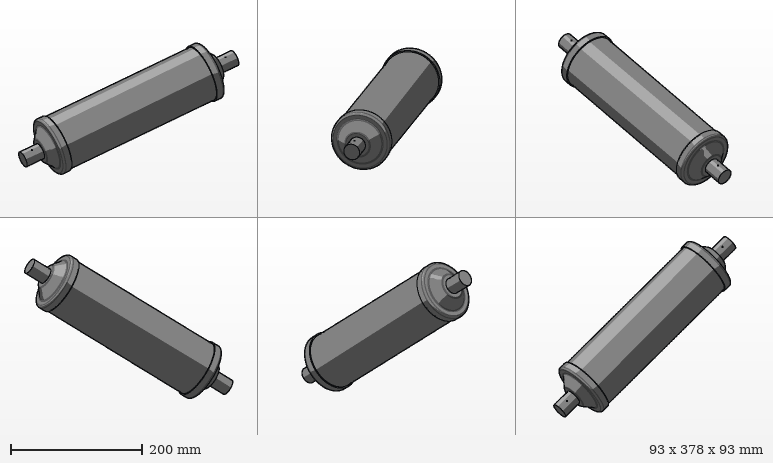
import cadquery as cq

overall_length = 378.0
barrel_diameter = 89.0
collar_diameter = 93.0
journal_diameter = 25.5

journal_length = 31.0
cone_length = 14.5
collar_width = 14.0

cone_tip_radius = 19.5
cone_base_radius = 35.5

collar_edge_radius = 3.5
cone_tip_fillet = 2.3
cone_base_fillet = 2.5
ring_tolerance = 0.5

pin_hole_diameter = 1.5
pin_hole_from_end = 16.0
pin_hole_depth = journal_diameter / 2

half_length = overall_length / 2
cone_tip_y = half_length - journal_length
collar_face_y = cone_tip_y - cone_length
collar_back_y = collar_face_y - collar_width


def cylinder(diameter, half_span):
    """Cylinder along Y, symmetric about the XZ plane."""
    return cq.Workplane("XZ").circle(diameter / 2).extrude(half_span, both=True)


def ring_selector(radius, y):
    """Selector for the circular edge that starts at this radius and axial station."""
    reach = radius + ring_tolerance
    inner = radius - ring_tolerance
    low = y - ring_tolerance
    high = y + ring_tolerance
    outside = cq.selectors.BoxSelector((-reach, low, -reach), (reach, high, reach), boundingbox=True)
    inside = cq.selectors.BoxSelector((-inner, low, -inner), (inner, high, inner), boundingbox=True)
    return outside - inside


def make_collar_and_cone():
    """Collar and conical shoulder of the +Y end, with rounded edges."""
    collar_radius = collar_diameter / 2
    profile = [
        (0, collar_back_y),
        (collar_radius, collar_back_y),
        (collar_radius, collar_face_y),
        (cone_base_radius, collar_face_y),
        (cone_tip_radius, cone_tip_y),
        (0, cone_tip_y),
    ]
    end = cq.Workplane("XY").polyline(profile).close().revolve(360, (0, 0, 0), (0, 1, 0))
    rounded_edges = [
        (collar_radius, collar_face_y, collar_edge_radius),
        (cone_base_radius, collar_face_y, cone_base_fillet),
        (cone_tip_radius, cone_tip_y, cone_tip_fillet),
    ]
    for edge_radius, edge_y, fillet_radius in rounded_edges:
        end = end.edges(ring_selector(edge_radius, edge_y)).fillet(fillet_radius)
    return end


def make_pin_hole(hole_y):
    """Cutter running from the journal top down to the roller axis."""
    return cq.Workplane("XY").center(0, hole_y).circle(pin_hole_diameter / 2).extrude(pin_hole_depth)


roller_end = make_collar_and_cone()
result = cylinder(barrel_diameter, collar_face_y - collar_edge_radius)
result = result.union(cylinder(journal_diameter, half_length))
result = result.union(roller_end).union(roller_end.mirror("XZ"))

for side in (-1, 1):
    result = result.cut(make_pin_hole(side * (half_length - pin_hole_from_end)))